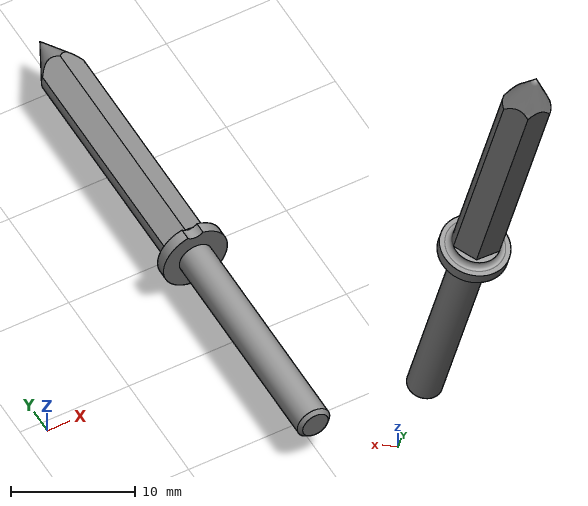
import cadquery as cq
import math

total_length = 46.0
shank_length = 20.0
flange_thickness = 1.0
tip_length = 3.9

shank_radius = 1.495
end_chamfer = 0.3
flange_radius = 2.95
body_radius = 2.0
collar_fillet = 0.5

ridge_height = 1.75
flat_slope = math.radians(30)

notch_half_width = 0.7
notch_depth = 0.35

flange_end = shank_length + flange_thickness
collar_end = flange_end + collar_fillet
tip_start = total_length - tip_length


def turned_profile():
    """Revolve the shank, flange, flared collar, body and conical tip about Y."""
    flare_radius = body_radius + collar_fillet
    flare_offset = collar_fillet * (1 - math.sqrt(0.5))
    return (
        cq.Workplane("XY")
        .lineTo(shank_radius - end_chamfer, 0)
        .lineTo(shank_radius, end_chamfer)
        .lineTo(shank_radius, shank_length)
        .lineTo(flange_radius, shank_length)
        .lineTo(flange_radius, flange_end)
        .lineTo(flare_radius, flange_end)
        .threePointArc((body_radius + flare_offset, flange_end + flare_offset), (body_radius, collar_end))
        .lineTo(body_radius, tip_start)
        .lineTo(0, total_length)
        .close()
        .revolve(360, (0, 0), (0, 1))
    )


def section_plane(y):
    """Plane across the axis at y, with local x along X, local y along Z and normal toward -Y."""
    return cq.Workplane("XZ", origin=(0, y, 0))


def flats_cutter():
    """Everything outside the rhombus of flats, from the collar to the tip."""
    length = total_length - collar_end
    ridge_half_span = ridge_height / math.tan(flat_slope)
    rhombus = [
        (0, ridge_height),
        (ridge_half_span, 0),
        (0, -ridge_height),
        (-ridge_half_span, 0),
    ]
    outside = section_plane(total_length).circle(2 * body_radius).extrude(length)
    return outside.cut(section_plane(total_length).polyline(rhombus).close().extrude(length))


def notch_cutter():
    """Round-bottomed groove through the flange thickness."""
    corner_height = math.sqrt(flange_radius**2 - notch_half_width**2)
    notch_bottom = flange_radius - notch_depth
    sagitta = corner_height - notch_bottom
    notch_radius = (notch_half_width**2 + sagitta**2) / (2 * sagitta)
    return (
        section_plane(flange_end)
        .center(0, notch_bottom + notch_radius)
        .circle(notch_radius)
        .extrude(flange_thickness)
    )


result = turned_profile().cut(flats_cutter()).cut(notch_cutter())